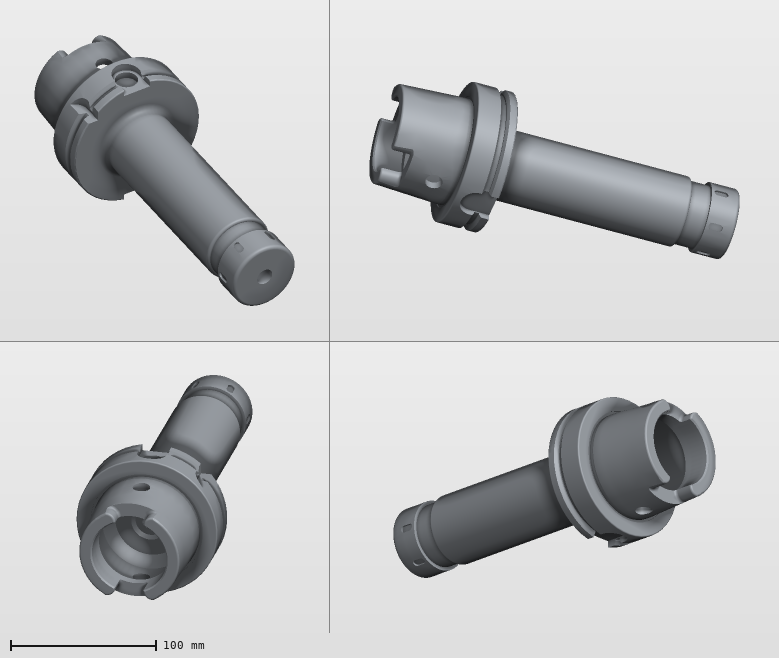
import cadquery as cq
import math

SHANK_END = -50.0
TAPER_END = -2.5
FLANGE_END = 29.0
BODY_END = 165.0
NUT_START = 179.0
NUT_END = 200.0

TAPER_END_RADIUS = 37.88
TAPER_SLOPE = 0.05
SHANK_END_RADIUS = TAPER_END_RADIUS - TAPER_SLOPE * (TAPER_END - SHANK_END)
SHANK_RIM_FILLET = 1.5
RELIEF_RADIUS = 75.5 / 2
RELIEF_START = -1.5
FACE_RECESS_RADIUS = 39.8
FACE_RECESS_DEPTH = 0.8
CROSS_HOLE_DIAMETER = 12.0
CROSS_HOLE_X = -15.0

MOUTH_RADIUS = 53.0 / 2
MOUTH_CHAMFER = 1.0
MOUTH_END = -29.2
CHAMBER_RADIUS = 63.0 / 2
CHAMBER_CONE_LENGTH = 3.0
CHAMBER_END = 0.0
FLOOR_EDGE_RADIUS = 24.2
BORE_FLOOR = 7.5
SEAT_RADIUS = 25.8 / 2
SEAT_INNER_RADIUS = 21.0 / 2
SEAT_DEPTH = 2.5
THROUGH_RADIUS = 12.0 / 2

DRIVE_SLOT_WIDTH = 20.0
TOP_DRIVE_SLOT_DEPTH = 10.0
BOTTOM_DRIVE_SLOT_DEPTH = 14.8
DRIVE_FLAT_Z = 31.2
DRIVE_CORNER_RADIUS = 6.2
DRIVE_FLOOR_FILLET = 2.0

FLANGE_RADIUS = 50.0
FLANGE_FILLET = 1.0
GRIP_GROOVE_CENTRE = 19.8
GRIP_GROOVE_TOP_WIDTH = 6.8
GRIP_GROOVE_WIDTH = 3.5
GRIP_GROOVE_RADIUS = 92.0 / 2
GRIP_WALL_ANGLE = 30.0
KEYWAY_WIDTH = 20.5
KEYWAY_CENTRE_X = 14.8
KEYWAY_FLOOR_Z = 44.0
CHIP_HOLE_DIAMETER = 16.0
CHIP_HOLE_DEPTH = 5.0
NOTCH_WALL_Y = -31.2
NOTCH_FLOOR_Z = 31.2

BODY_RADIUS = 50.0 / 2
BODY_ROOT_FILLET = 5.0
BODY_END_FILLET = 2.0
NECK_RADIUS = 45.0 / 2

NUT_RADIUS = 50.0 / 2
NUT_FILLET = 2.5
NUT_SLOT_COUNT = 6
NUT_SLOT_LENGTH = 10.0
NUT_SLOT_WIDTH = 5.0
NUT_SLOT_DEPTH = 1.5
NUT_SLOT_X = 186.0

SELECTION_MARGIN = 0.12


def revolve_about_x(outline):
    return outline.close().revolve(360, (0, 0, 0), (1, 0, 0))


def box_about_x(x, half_size):
    return cq.selectors.BoxSelector(
        (x - SELECTION_MARGIN, -half_size, -half_size),
        (x + SELECTION_MARGIN, half_size, half_size),
        boundingbox=True,
    )


def rim_at(x, radius):
    """Selects the full circle of the given radius about the X axis."""
    outer = box_about_x(x, radius + SELECTION_MARGIN)
    inner = box_about_x(x, radius - SELECTION_MARGIN)
    return outer - inner


def holder_blank():
    arc = math.sqrt(0.5)
    outline = (
        cq.Workplane("XY")
        .moveTo(SHANK_END, 0)
        .lineTo(SHANK_END, SHANK_END_RADIUS)
        .lineTo(TAPER_END, TAPER_END_RADIUS)
        .lineTo(RELIEF_START, RELIEF_RADIUS)
        .lineTo(FACE_RECESS_DEPTH, RELIEF_RADIUS)
        .lineTo(FACE_RECESS_DEPTH, FACE_RECESS_RADIUS)
        .lineTo(0, FACE_RECESS_RADIUS)
        .lineTo(0, FLANGE_RADIUS)
        .lineTo(FLANGE_END, FLANGE_RADIUS)
        .lineTo(FLANGE_END, BODY_RADIUS + BODY_ROOT_FILLET)
        .threePointArc(
            (FLANGE_END + BODY_ROOT_FILLET * (1 - arc), BODY_RADIUS + BODY_ROOT_FILLET * (1 - arc)),
            (FLANGE_END + BODY_ROOT_FILLET, BODY_RADIUS),
        )
        .lineTo(BODY_END, BODY_RADIUS)
        .lineTo(BODY_END, NECK_RADIUS)
        .lineTo(NUT_START, NECK_RADIUS)
        .lineTo(NUT_START, 0)
    )
    return (
        revolve_about_x(outline)
        .edges(rim_at(0, FLANGE_RADIUS))
        .fillet(FLANGE_FILLET)
        .edges(rim_at(FLANGE_END, FLANGE_RADIUS))
        .fillet(FLANGE_FILLET)
        .edges(rim_at(BODY_END, BODY_RADIUS))
        .fillet(BODY_END_FILLET)
    )


def bore_cutter():
    return revolve_about_x(
        cq.Workplane("XY")
        .moveTo(SHANK_END, 0)
        .lineTo(SHANK_END, MOUTH_RADIUS + MOUTH_CHAMFER)
        .lineTo(SHANK_END + MOUTH_CHAMFER, MOUTH_RADIUS)
        .lineTo(MOUTH_END, MOUTH_RADIUS)
        .lineTo(MOUTH_END + CHAMBER_CONE_LENGTH, CHAMBER_RADIUS)
        .lineTo(CHAMBER_END, CHAMBER_RADIUS)
        .lineTo(BORE_FLOOR, FLOOR_EDGE_RADIUS)
        .lineTo(BORE_FLOOR, SEAT_RADIUS)
        .lineTo(BORE_FLOOR + SEAT_DEPTH, SEAT_INNER_RADIUS)
        .lineTo(BORE_FLOOR + SEAT_DEPTH, THROUGH_RADIUS)
        .lineTo(NUT_END, THROUGH_RADIUS)
        .lineTo(NUT_END, 0)
    )


def cross_hole_cutter():
    """A hole through both walls of the shank."""
    return (
        cq.Workplane("XY")
        .center(CROSS_HOLE_X, 0)
        .circle(CROSS_HOLE_DIAMETER / 2)
        .extrude(FLANGE_RADIUS, both=True)
    )


def drive_slot_cutter(depth):
    """A straight slot that opens above round shoulders into a full-width flat."""
    half_width = DRIVE_SLOT_WIDTH / 2
    arc = DRIVE_CORNER_RADIUS * math.sqrt(0.5)
    corner_y = half_width + DRIVE_CORNER_RADIUS
    corner_z = DRIVE_FLAT_Z - DRIVE_CORNER_RADIUS
    slot = (
        cq.Workplane("YZ", origin=(SHANK_END + depth, 0, 0))
        .moveTo(-half_width, 0)
        .lineTo(-half_width, corner_z)
        .threePointArc((-corner_y + arc, corner_z + arc), (-corner_y, DRIVE_FLAT_Z))
        .lineTo(-FLANGE_RADIUS, DRIVE_FLAT_Z)
        .lineTo(-FLANGE_RADIUS, FLANGE_RADIUS)
        .lineTo(FLANGE_RADIUS, FLANGE_RADIUS)
        .lineTo(FLANGE_RADIUS, DRIVE_FLAT_Z)
        .lineTo(corner_y, DRIVE_FLAT_Z)
        .threePointArc((corner_y - arc, corner_z + arc), (half_width, corner_z))
        .lineTo(half_width, 0)
        .close()
        .extrude(-2 * depth)
    )
    return slot.faces(">X").edges().fillet(DRIVE_FLOOR_FILLET)


def grip_groove_cutter():
    """A parallel-walled groove with sloped walls at its mouth."""
    mouth = GRIP_GROOVE_TOP_WIDTH / 2
    wall = GRIP_GROOVE_WIDTH / 2
    wall_top = FLANGE_RADIUS - (mouth - wall) / math.tan(math.radians(GRIP_WALL_ANGLE))
    return revolve_about_x(
        cq.Workplane("XY")
        .moveTo(GRIP_GROOVE_CENTRE - mouth, FLANGE_RADIUS)
        .lineTo(GRIP_GROOVE_CENTRE - wall, wall_top)
        .lineTo(GRIP_GROOVE_CENTRE - wall, GRIP_GROOVE_RADIUS)
        .lineTo(GRIP_GROOVE_CENTRE + wall, GRIP_GROOVE_RADIUS)
        .lineTo(GRIP_GROOVE_CENTRE + wall, wall_top)
        .lineTo(GRIP_GROOVE_CENTRE + mouth, FLANGE_RADIUS)
    )


def keyway_cutter(centre_y, floor_z):
    """A round-ended slot milled along Z, open at the body side of the flange."""
    length = FLANGE_END - KEYWAY_CENTRE_X
    floor = cq.Workplane("XY", origin=(KEYWAY_CENTRE_X, centre_y, floor_z))
    height = FLANGE_RADIUS - floor_z
    round_end = floor.circle(KEYWAY_WIDTH / 2).extrude(height)
    run = floor.center(length / 2, 0).rect(length, KEYWAY_WIDTH).extrude(height)
    return round_end.union(run)


def chip_hole_cutter():
    return (
        cq.Workplane("XY", origin=(KEYWAY_CENTRE_X, 0, KEYWAY_FLOOR_Z))
        .circle(CHIP_HOLE_DIAMETER / 2)
        .extrude(-CHIP_HOLE_DEPTH)
    )


def make_holder():
    key = keyway_cutter(0, KEYWAY_FLOOR_Z)
    slotted = (
        holder_blank()
        .cut(drive_slot_cutter(TOP_DRIVE_SLOT_DEPTH))
        .cut(drive_slot_cutter(BOTTOM_DRIVE_SLOT_DEPTH).mirror("XY"))
    )
    return (
        slotted.faces("<X")
        .edges()
        .fillet(SHANK_RIM_FILLET)
        .cut(bore_cutter())
        .cut(cross_hole_cutter())
        .cut(grip_groove_cutter())
        .cut(key)
        .cut(key.mirror("XY"))
        .cut(chip_hole_cutter())
        .cut(keyway_cutter(NOTCH_WALL_Y - KEYWAY_WIDTH / 2, NOTCH_FLOOR_Z))
    )


def make_nut():
    nut = (
        cq.Workplane("YZ", origin=(NUT_START, 0, 0))
        .circle(NUT_RADIUS)
        .extrude(NUT_END - NUT_START)
        .faces(">X")
        .edges()
        .fillet(NUT_FILLET)
        .faces(">X")
        .workplane()
        .circle(THROUGH_RADIUS)
        .cutThruAll()
    )
    slot = (
        cq.Workplane("XZ", origin=(NUT_SLOT_X, -NUT_RADIUS + NUT_SLOT_DEPTH, 0))
        .slot2D(NUT_SLOT_LENGTH, NUT_SLOT_WIDTH)
        .extrude(NUT_SLOT_DEPTH)
    )
    for i in range(NUT_SLOT_COUNT):
        nut = nut.cut(slot.rotate((0, 0, 0), (1, 0, 0), i * 360 / NUT_SLOT_COUNT))
    return nut


holder = make_holder()
nut = make_nut()

result = cq.Compound.makeCompound([holder.val(), nut.val()])